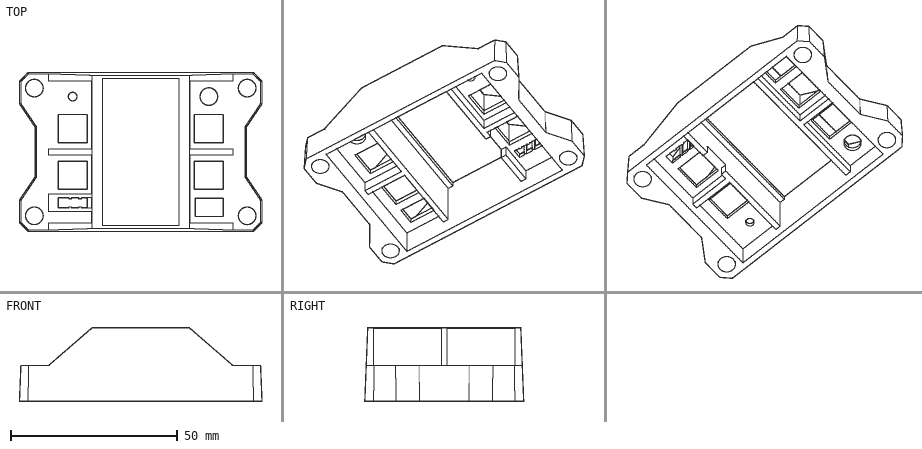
import cadquery as cq

length_x = 73.01
width_y = 47.86
height = 22.14
draft_angle = 2.3

side_edge_x = 33.9
ear_outer_y = 21.25
ear_inner_y = 14.5
waist_x = 31.75
waist_y = 7.4

deck_z = 10.8
slope_foot_x = 27.7
slope_top_x = 14.6

deck_thickness = 1.75
cavity_half_x = 28.0
cavity_half_y = 22.05
inner_wall_bottom_z = 5.1
tower_outer_x = 14.87
tower_wall = 1.75
tower_inner_x = tower_outer_x - tower_wall
window_half_x = 11.45

flank_inner_y = 21.3
rib_thickness = 1.75

mount_hole_d = 5.23
mount_hole_x = 32.0
mount_hole_y = 19.2
lamp_hole_d = 5.23
lamp_hole_center = (20.48, 16.65)
button_hole_d = 2.55
button_hole_center = (-20.48, 16.65)

opening_near_x = 16.12
opening_far_x = 24.77
opening_near_y = 2.83
opening_far_y = 11.2
limit_near_x = 16.4
limit_near_y = 13.92
limit_far_y = 19.35

housing_y = -15.3
housing_width = 5.2
slot_width = 3.25
slot_opening_width = 2.95
key_positions_x = (-21.2, -18.22)
key_width = 0.85
key_gap = 2.45


def box(x_range, y_range, z_range):
    """Axis-aligned box between pairs of limits."""
    size = [abs(limits[1] - limits[0]) for limits in (x_range, y_range, z_range)]
    corner = (min(x_range), min(y_range), min(z_range))
    return cq.Workplane("XY").box(*size, centered=False).translate(corner)


def slab(x_range, center_y, thickness, z_range):
    """Box of a given thickness centred on a y position."""
    half = thickness / 2
    return box(x_range, (center_y - half, center_y + half), z_range)


def base_outline():
    """Symmetric eared outline, listed around all four quadrants."""
    quadrant = [
        (waist_x, waist_y),
        (length_x / 2, ear_inner_y),
        (length_x / 2, ear_outer_y),
        (side_edge_x, width_y / 2),
    ]
    half = quadrant + [(-x, y) for x, y in reversed(quadrant)]
    return half + [(-x, -y) for x, y in half]


def outer_envelope():
    """Drafted outline trimmed by the deck and the two slopes."""
    drafted = cq.Workplane("XY").polyline(base_outline()).close().extrude(height, taper=draft_angle)
    profile = [
        (-length_x / 2, 0),
        (length_x / 2, 0),
        (length_x / 2, deck_z),
        (slope_foot_x, deck_z),
        (slope_top_x, height),
        (-slope_top_x, height),
        (-slope_foot_x, deck_z),
        (-length_x / 2, deck_z),
    ]
    trim = cq.Workplane("XZ").polyline(profile).close().extrude(width_y / 2, both=True)
    return drafted.intersect(trim)


def flank_bays(side):
    """Open bays above the deck, between the outer ribs and either side of the middle rib."""
    x_range = (side * tower_outer_x, side * length_x / 2)
    z_range = (deck_z, height)
    bays = box(x_range, (-flank_inner_y, flank_inner_y), z_range)
    ribs = slab(x_range, 0, rib_thickness, z_range)
    if side < 0:
        ribs = ribs.union(slab(x_range, housing_y, housing_width, z_range))
    return bays.cut(ribs)


def inner_cavity():
    """Hollow under the deck, leaving the tower walls and middle rib hanging inside."""
    y_range = (-cavity_half_y, cavity_half_y)
    underside_z = deck_z - deck_thickness
    cavity = box((-cavity_half_x, cavity_half_x), y_range, (0, underside_z))
    wall_z = (inner_wall_bottom_z, underside_z)
    for side in (-1, 1):
        cavity = cavity.cut(box((side * tower_inner_x, side * tower_outer_x), y_range, wall_z))
        rib_x = (side * tower_outer_x, side * cavity_half_x)
        cavity = cavity.cut(slab(rib_x, 0, rib_thickness, wall_z))
    tower = box((-tower_inner_x, tower_inner_x), y_range, (0, height - deck_thickness))
    window = box((-window_half_x, window_half_x), y_range, (0, height))
    return cavity.union(tower).union(window)


def terminal_openings():
    """Four rectangular terminal openings, and the limit opening."""
    z_range = (deck_z - deck_thickness, deck_z)
    openings = box((limit_near_x, opening_far_x), (-limit_near_y, -limit_far_y), z_range)
    for side_x in (-1, 1):
        for side_y in (-1, 1):
            x_range = (side_x * opening_near_x, side_x * opening_far_x)
            y_range = (side_y * opening_near_y, side_y * opening_far_y)
            openings = openings.union(box(x_range, y_range, z_range))
    return openings


def wire_notch():
    """Gap in the hanging -X tower wall, beside the -Y terminal opening."""
    x_range = (-tower_outer_x, -tower_inner_x)
    y_range = (-opening_near_y, -opening_far_y)
    return box(x_range, y_range, (inner_wall_bottom_z, deck_z - deck_thickness))


def connector_slot():
    """Slot through the housing and deck, narrowed by two pairs of keys."""
    deck_range = (deck_z - deck_thickness, deck_z)
    slot = slab((-opening_far_x, -tower_outer_x), housing_y, slot_width, (deck_z, height))
    slot = slot.union(slab((-opening_far_x, -opening_near_x), housing_y, slot_opening_width, deck_range))
    for key_x in key_positions_x:
        x_range = (key_x - key_width / 2, key_x + key_width / 2)
        z_range = (deck_range[0], height)
        keys = slab(x_range, housing_y, slot_width, z_range)
        slot = slot.cut(keys.cut(slab(x_range, housing_y, key_gap, z_range)))
    return slot


def round_holes():
    """Mounting holes in the ears plus the lamp and button holes in the deck."""
    mounts = [(x, y) for x in (-mount_hole_x, mount_hole_x) for y in (-mount_hole_y, mount_hole_y)]
    holes = cq.Workplane("XY").pushPoints(mounts).circle(mount_hole_d / 2).extrude(deck_z)
    for center, diameter in ((lamp_hole_center, lamp_hole_d), (button_hole_center, button_hole_d)):
        holes = holes.union(cq.Workplane("XY").center(*center).circle(diameter / 2).extrude(deck_z))
    return holes


result = outer_envelope()
for flank in (-1, 1):
    result = result.cut(flank_bays(flank))
result = result.cut(inner_cavity())
result = result.cut(terminal_openings())
result = result.cut(wire_notch())
result = result.cut(connector_slot())
result = result.cut(round_holes())